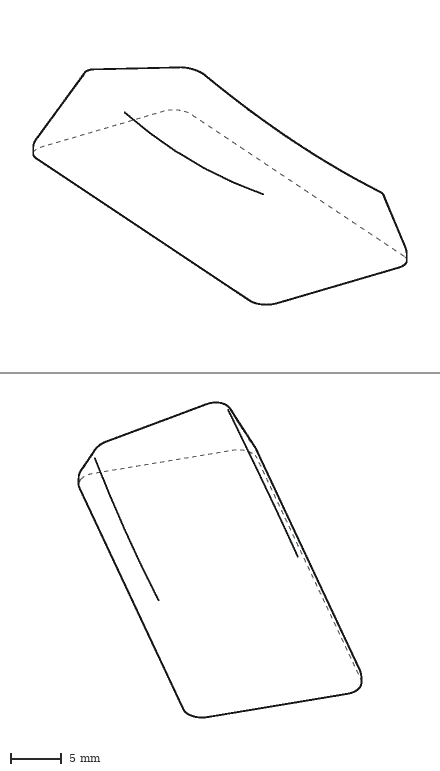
import cadquery as cq
import math

length = 41.95
width = 18.17
corner_radius = 1.95

skirt_height = 0.67
blend_rise = 0.65

top_length = 34.6
top_front = -5.25
top_back = 8.6
top_front_height = 9.6
top_tilt = 14.3

dish_side_height = 8.2
dish_middle_height = 6.8
dish_middle_tilt = 11.8

rim_radius = 0.3

tilt_angle = math.radians(top_tilt)
top_back_height = top_front_height - (top_back - top_front) * math.tan(tilt_angle)


def wall_lean(inset, top_height):
    """Angle from vertical of a wall whose slope starts from the middle of the blend."""
    return math.atan(inset / (top_height - skirt_height - blend_rise / 2))


end_inset = (length - top_length) / 2
front_lean = wall_lean(top_front + width / 2, top_front_height)
back_lean = wall_lean(width / 2 - top_back, top_back_height)
end_lean_at_front = wall_lean(end_inset, top_front_height)
end_lean_at_back = wall_lean(end_inset, top_back_height)


def blend_inset(lean, rise):
    """Inward travel, after a rise, of the arc that turns from upright to the lean angle."""
    radius = blend_rise / math.sin(lean)
    return radius - math.sqrt(radius**2 - rise**2)


def blend_outline(rise):
    """Rounded outline of the blend band at a rise above the skirt."""
    front = -width / 2 + blend_inset(front_lean, rise)
    back = width / 2 - blend_inset(back_lean, rise)
    half_front = length / 2 - blend_inset(end_lean_at_front, rise)
    half_back = length / 2 - blend_inset(end_lean_at_back, rise)
    corners = [(-half_front, front), (half_front, front), (half_back, back), (-half_back, back)]
    sketch = cq.Sketch().polygon(corners + corners[:1]).vertices().fillet(corner_radius)
    return sketch.moved(cq.Location(cq.Vector(0, 0, skirt_height + rise)))


def top_outline():
    """Rounded rectangle on the tilted plane where the walls end."""
    middle = cq.Vector(0, (top_front + top_back) / 2, (top_front_height + top_back_height) / 2)
    sloped_width = (top_back - top_front) / math.cos(tilt_angle)
    sketch = cq.Sketch().rect(top_length, sloped_width).vertices().fillet(corner_radius)
    return sketch.moved(cq.Location(middle, cq.Vector(1, 0, 0), -top_tilt))


def dish_section(y):
    """Upright face above the dish at a position along Y, with an arc along its underside."""
    side_height = dish_side_height - y * math.tan(tilt_angle)
    middle_height = dish_middle_height - y * math.tan(math.radians(dish_middle_tilt))
    depth = side_height - middle_height
    radius = ((top_length / 2) ** 2 + depth**2) / (2 * depth)
    half = length / 2
    rim_height = middle_height + radius - math.sqrt(radius**2 - half**2)
    return (
        cq.Workplane("XZ", origin=(0, y, 0))
        .moveTo(-half, rim_height)
        .threePointArc((0, middle_height), (half, rim_height))
        .lineTo(half, 2 * top_front_height)
        .lineTo(-half, 2 * top_front_height)
        .close()
        .wire()
        .val()
    )


def dish_cutter():
    """Block with an underside ruled from the front arc to the flatter back arc."""
    sections = [dish_section(-width / 2), dish_section(width / 2)]
    return cq.Workplane(cq.Solid.makeLoft(sections, True))


blend_outlines = [blend_outline(rise) for rise in (0, blend_rise / 2, blend_rise)]
skirt = cq.Workplane().placeSketch(blend_outlines[0]).extrude(-skirt_height)
blend_band = cq.Workplane().placeSketch(*blend_outlines).loft()
walls = cq.Workplane().placeSketch(blend_outlines[-1], top_outline()).loft(ruled=True)

cap = skirt.union(blend_band).union(walls).cut(dish_cutter())
dish_face = cap.faces(cq.selectors.NearestToPointSelector((0, 0, dish_middle_height)))
result = dish_face.edges().fillet(rim_radius)